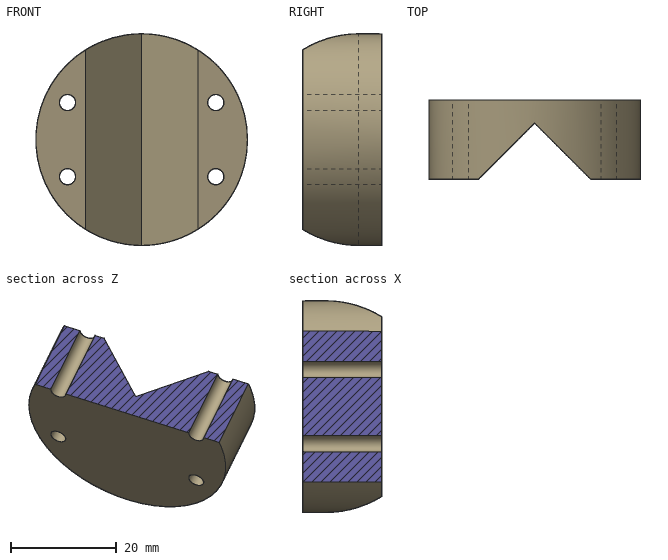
import cadquery as cq

diameter = 40.0
thickness = 15.0

groove_depth = 10.6
groove_half_width = groove_depth

hole_diameter = 3.0
hole_spacing_x = 28.0
hole_spacing_z = 14.0

front_y = -thickness / 2


def make_disc():
    """Solid disc centred on the origin."""
    return cq.Workplane("XZ").circle(diameter / 2).extrude(thickness / 2, both=True)


def make_groove():
    """Triangular prism opening onto the -Y face."""
    return (
        cq.Workplane("XY")
        .moveTo(-groove_half_width, front_y)
        .lineTo(groove_half_width, front_y)
        .lineTo(0, front_y + groove_depth)
        .close()
        .extrude(diameter / 2, both=True)
    )


def make_holes():
    """Pins that cut the four holes through the full thickness."""
    return (
        cq.Workplane("XZ")
        .rarray(hole_spacing_x, hole_spacing_z, 2, 2)
        .circle(hole_diameter / 2)
        .extrude(thickness / 2, both=True)
    )


result = make_disc().cut(make_groove()).cut(make_holes())